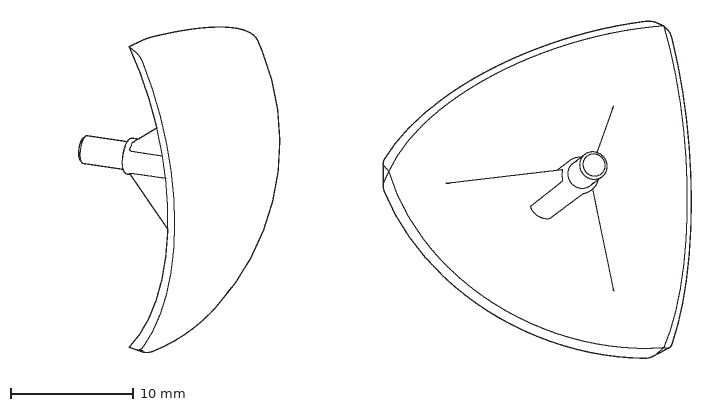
import cadquery as cq
import math

outer_radius = 20.0
wall = 1.0
inner_radius = outer_radius - wall
corner_round = 1.0

pin_start = 4.1
shoulder_start = 8.03
pin_radius = 1.15
shaft_radius = 1.5
pin_chamfer = 0.23
shoulder_round = 0.2

rib_thickness = 0.95
rib_apex = 7.1
rib_draft = 0.5
rib_round = 0.2
rib_foot_round = 0.17

embed = wall / 2
tolerance = 0.015

half = math.sqrt(0.5)
corner_axes = [
    cq.Vector(0, 1, 0),
    cq.Vector(half, 0, half),
    cq.Vector(half, 0, -half),
]
pin_axis = (corner_axes[0] + corner_axes[1] + corner_axes[2]).normalized()


def make_segment():
    """Eighth of a ball with its three outer corners bevelled and rounded."""
    ball = cq.Workplane("XY").sphere(outer_radius)
    for corner in corner_axes:
        inward = (pin_axis - corner * pin_axis.dot(corner)).normalized()
        normal = (corner - inward).normalized()
        slope = cq.Plane(
            origin=corner * inner_radius,
            xDir=inward.cross(corner),
            normal=normal,
        )
        ball = ball.cut(cq.Workplane(slope).rect(outer_radius, outer_radius).extrude(outer_radius))
    ball = ball.edges("%CIRCLE").fillet(corner_round)
    cube_side = 2 * outer_radius
    octant = cq.Workplane("XY").box(cube_side, cube_side, cube_side, centered=False)
    octant = octant.rotate((0, 0, 0), (0, 1, 0), 45)
    return ball.intersect(octant)


def make_pin():
    """Stepped round pin running from its free tip into the shell wall."""
    base = cq.Plane(origin=pin_axis * pin_start, xDir=(0, 0, 1), normal=pin_axis)
    tip = cq.Workplane(base).circle(pin_radius).extrude(inner_radius - pin_start)
    free_end = cq.selectors.DirectionMinMaxSelector(pin_axis, False)
    tip = tip.faces(free_end).chamfer(pin_chamfer)
    shaft = (
        cq.Workplane(base)
        .workplane(offset=shoulder_start - pin_start)
        .circle(shaft_radius)
        .extrude(inner_radius + embed - shoulder_start)
    )
    shaft = shaft.faces(free_end).edges().fillet(shoulder_round)
    return tip.union(shaft)


def make_rib(corner):
    """Flat rib whose free edge slopes at 45 degrees from the shaft to the shell."""
    outward = (corner - pin_axis * pin_axis.dot(corner)).normalized()
    reach = inner_radius
    edge_direction = (outward + pin_axis).normalized()
    section = cq.Plane(
        origin=pin_axis * rib_apex,
        xDir=edge_direction.cross(outward - pin_axis),
        normal=edge_direction,
    )
    edge_half = rib_thickness / 2
    root_half = edge_half + reach * math.tan(math.radians(rib_draft))
    bar = (
        cq.Workplane(section)
        .polyline([(-edge_half, 0), (edge_half, 0), (root_half, reach), (-root_half, reach)])
        .close()
        .extrude(2 * reach)
    )
    free_face = cq.selectors.DirectionMinMaxSelector(outward - pin_axis, True)
    long_edges = cq.selectors.ParallelDirSelector(edge_direction)
    bar = bar.faces(free_face).edges(long_edges).fillet(rib_round)
    plane = cq.Plane(origin=pin_axis * rib_apex, xDir=pin_axis, normal=pin_axis.cross(outward))
    triangle = (
        cq.Workplane(plane)
        .polyline([(0, 0), (reach, reach), (reach, 0)])
        .close()
        .extrude(reach, both=True)
    )
    rib = bar.intersect(triangle)
    shoulder = cq.Plane(
        origin=pin_axis * (shoulder_start + shoulder_round),
        xDir=outward,
        normal=pin_axis,
    )
    clear = cq.Workplane(shoulder).rect(4 * reach, 4 * reach).extrude(2 * reach)
    ball = cq.Workplane("XY").sphere(inner_radius + embed)
    return rib.intersect(clear).intersect(ball)


def is_rib_foot(edge):
    """Tell whether an edge is where a rib meets the inner sphere."""
    middle = edge.positionAt(0.5)
    on_sphere = abs(middle.Length - inner_radius) < tolerance
    off_shaft = middle.cross(pin_axis).Length > shaft_radius + tolerance
    off_rim = min(middle.dot(corner) for corner in corner_axes) > tolerance
    return on_sphere and off_shaft and off_rim


shell = make_segment().cut(cq.Workplane("XY").sphere(inner_radius))
body = shell.union(make_pin())
for corner_axis in corner_axes:
    body = body.union(make_rib(corner_axis))
result = body.edges().filter(is_rib_foot).fillet(rib_foot_round)